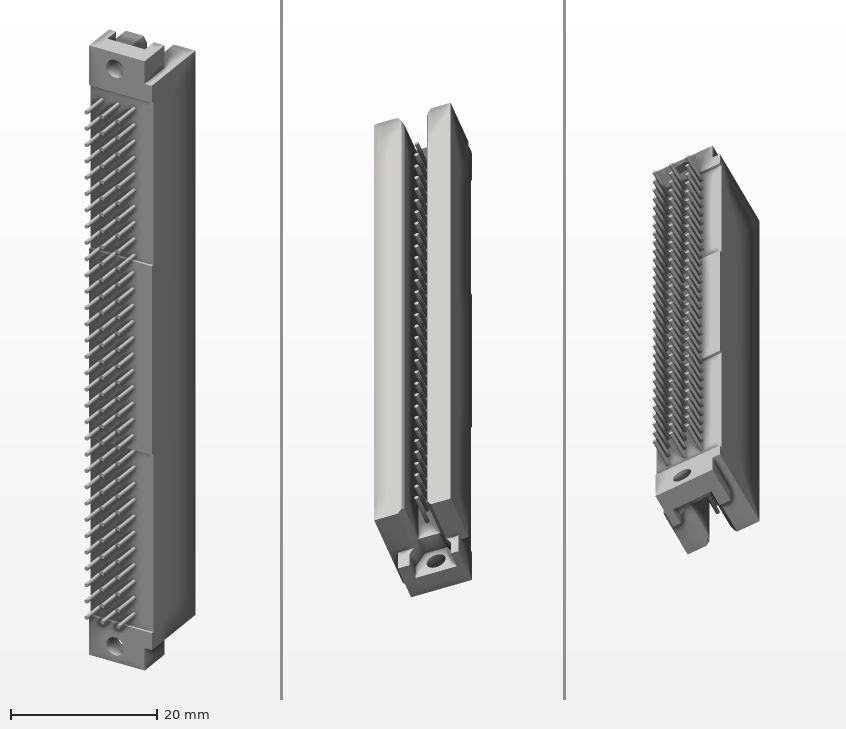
import cadquery as cq

width = 11.1
depth = 15.6
height = 95.0

left = -width / 2
right = width / 2
mating_y = depth / 2
tail_tip_y = -depth / 2

housing_height = 88.0
back_depth = 11.7
back_y = mating_y - back_depth
flange_width = 1.1
flange_depth = 7.1

cavity_x = -0.3
cavity_width = 3.2
cavity_floor_y = 1.7
mouth_chamfer_x = 0.3
mouth_chamfer_y = 0.6

ear_width = width - 2 * flange_width
ear_front_y = 1.4
ear_slot_width = 6.0
ear_slot_floor_y = -0.95
ear_hole_diameter = 2.8
ear_hole_z = 45.0

lead_in_start_z = 45.0
lead_in_height = 2.4

recess_depth = 0.4
recess_outer_z = 41.3
upper_recess_inner_z = 15.9
lower_recess_inner_z = -13.6

pin_diameter = 0.6
pin_rows = 32
pin_columns = 3
pin_field_height = 78.8
pin_pitch = pin_field_height / (pin_rows - 1)
contact_tip_y = 6.2


def block(x_min, x_max, y_min, y_max, z_min, z_max):
    """Axis-aligned box given by its limits."""
    size = (x_max - x_min, y_max - y_min, z_max - z_min)
    return cq.Workplane("XY").box(*size, centered=False).translate((x_min, y_min, z_min))


def housing():
    """Long body with a side flange, and the ears at both ends."""
    end_z = housing_height / 2
    body = block(left + flange_width, right, back_y, mating_y, -end_z, end_z)
    flange = block(left, left + flange_width, mating_y - flange_depth, mating_y, -end_z, end_z)
    ears = block(-ear_width / 2, ear_width / 2, back_y, ear_front_y, -height / 2, height / 2)
    return body.union(flange).union(ears)


def cavity():
    """Channel along the whole housing, with a chamfered mouth."""
    half = cavity_width / 2
    mouth_half = half + mouth_chamfer_x
    chamfer_y = mating_y - mouth_chamfer_y
    outline = [
        (cavity_x - half, cavity_floor_y),
        (cavity_x + half, cavity_floor_y),
        (cavity_x + half, chamfer_y),
        (cavity_x + mouth_half, mating_y),
        (cavity_x - mouth_half, mating_y),
        (cavity_x - half, chamfer_y),
    ]
    return cq.Workplane("XY").polyline(outline).close().extrude(height / 2, both=True)


def end_opening(y_min, y_max):
    """Opening at the top: straight down to the lead-in, then tapering to the cavity width."""
    wide = ear_slot_width / 2
    narrow = cavity_width / 2
    lead_in_end_z = lead_in_start_z - lead_in_height
    outline = [
        (cavity_x - wide, height / 2),
        (cavity_x - wide, lead_in_start_z),
        (cavity_x - narrow, lead_in_end_z),
        (cavity_x + narrow, lead_in_end_z),
        (cavity_x + wide, lead_in_start_z),
        (cavity_x + wide, height / 2),
    ]
    plane = cq.Workplane("XZ", origin=(0, y_max, 0))
    return plane.polyline(outline).close().extrude(y_max - y_min)


def recess(z_min, z_max):
    """Shallow step across the full width of the back face."""
    return block(left, right, back_y, back_y + recess_depth, z_min, z_max)


def ear_holes():
    """Mounting hole through each ear."""
    centers = [(cavity_x, -ear_hole_z), (cavity_x, ear_hole_z)]
    plane = cq.Workplane("XZ")
    return plane.pushPoints(centers).circle(ear_hole_diameter / 2).extrude(depth / 2, both=True)


def pins():
    """Grid of round pins; every tail leaves the back face."""
    grid = cq.Workplane("XZ", origin=(0, contact_tip_y, 0))
    grid = grid.rarray(pin_pitch, pin_pitch, pin_columns, pin_rows)
    return grid.circle(pin_diameter / 2).extrude(contact_tip_y - tail_tip_y)


top_opening = end_opening(ear_slot_floor_y, mating_y)

result = (
    housing()
    .cut(cavity())
    .cut(top_opening)
    .cut(top_opening.mirror("XY"))
    .cut(recess(upper_recess_inner_z, recess_outer_z))
    .cut(recess(-recess_outer_z, lower_recess_inner_z))
    .cut(ear_holes())
    .union(pins())
)